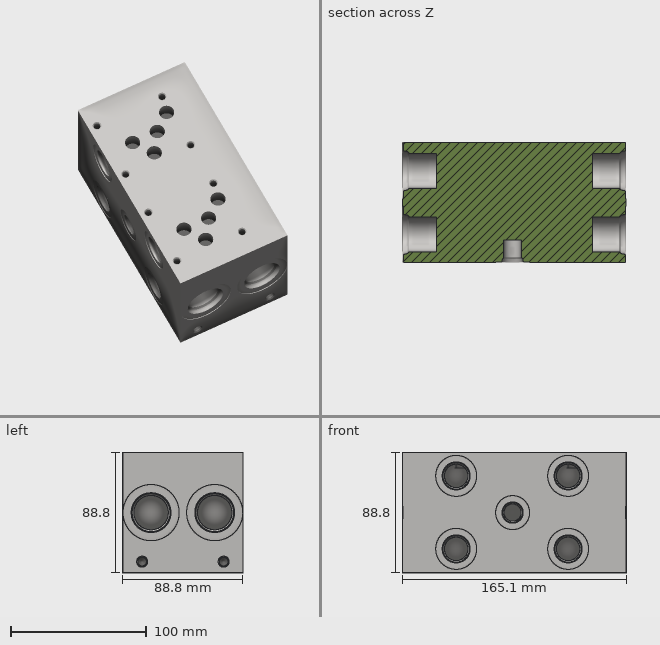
import cadquery as cq
import math

LENGTH = 165.1
SIDE = 88.8

SPOTFACE_DEPTH = 0.5
SEAT_TAPER = 12.0
LEAD_IN_ANGLE = 45.0

DRILL_TIP_ANGLE = 118.0

STATION_PITCH = 82.5
STATION_X = [LENGTH / 2 - STATION_PITCH / 2, LENGTH / 2 + STATION_PITCH / 2]
BOLT_SPACING_X = 46.0
BOLT_SPACING_Y = 54.0
BOLT_FRONT_Y = 6.6
STATION_Y = BOLT_FRONT_Y + BOLT_SPACING_Y / 2
STATION_BOLT_DRILL = 5.0
STATION_BOLT_MOUTH = 6.5
STATION_BOLT_DEPTH = 16.5
PASSAGE_DIAMETER = 11.2
PASSAGE_DEPTH = 11.4
TANK_PASSAGE = (-9.5, 23.8)
PRESSURE_PASSAGE = (16.7, 0.0)
WORK_PASSAGE_X = 1.7
WORK_PASSAGE_OFFSET_Y = 10.2

WORK_SPOTFACE = 30.2
WORK_SEAT = 20.6
WORK_BORE = 17.3
WORK_SEAT_DEPTH = 2.5
WORK_DEPTH = 18.8
WORK_SHIFT_X = -1.7
PORT_A_Z = 17.7
PORT_B_Z = 71.5
GAUGE_SPOTFACE = 25.1
GAUGE_SEAT = 15.7
GAUGE_BORE = 12.7
GAUGE_SEAT_DEPTH = 2.5
GAUGE_DEPTH = 16.5
GAUGE_X = 81.2

SUPPLY_SPOTFACE = 41.5
SUPPLY_SEAT = 29.4
SUPPLY_BORE = 25.5
SUPPLY_SEAT_DEPTH = 3.3
SUPPLY_DEPTH = 24.8
SUPPLY_EDGE_DISTANCE = 21.0
SUPPLY_Y = [SUPPLY_EDGE_DISTANCE, SIDE - SUPPLY_EDGE_DISTANCE]

MOUNT_DRILL = 6.5
MOUNT_MOUTH = 8.1
MOUNT_DEPTH = 16.5
MOUNT_EDGE_DISTANCE = 14.4
MOUNT_Y = [MOUNT_EDGE_DISTANCE, SIDE - MOUNT_EDGE_DISTANCE]
MOUNT_Z = 8.3


def turned_cutter(profile):
    """Solid of revolution about Z from (radius, height) points that start and end on the axis."""
    return cq.Workplane("XZ").polyline(profile).close().revolve(360, (0, 0, 0), (0, 1, 0)).val()


def port_cutter(spotface, seat, bore, seat_depth, depth):
    """Port pointing down from z = 0."""
    seat_floor = -SPOTFACE_DEPTH - seat_depth
    seat_floor_radius = seat / 2 - seat_depth * math.tan(math.radians(SEAT_TAPER))
    lead_in = (seat_floor_radius - bore / 2) / math.tan(math.radians(LEAD_IN_ANGLE))
    return turned_cutter([
        (0, 0),
        (spotface / 2, 0),
        (spotface / 2, -SPOTFACE_DEPTH),
        (seat / 2, -SPOTFACE_DEPTH),
        (seat_floor_radius, seat_floor),
        (bore / 2, seat_floor - lead_in),
        (bore / 2, -depth),
        (0, -depth),
    ])


def bolt_hole_cutter(drill, mouth, depth):
    """Chamfered drilled hole with a conical tip, pointing down from z = 0."""
    chamfer = (mouth - drill) / 2
    tip = drill / 2 / math.tan(math.radians(DRILL_TIP_ANGLE / 2))
    return turned_cutter([
        (0, 0),
        (mouth / 2, 0),
        (drill / 2, -chamfer),
        (drill / 2, -depth),
        (0, -depth - tip),
    ])


def on_top(cutter, x, y):
    return cutter.translate(cq.Vector(x, y, SIDE))


def on_front(cutter, x, z):
    return cutter.rotate(cq.Vector(0, 0, 0), cq.Vector(1, 0, 0), 90).translate(cq.Vector(x, 0, z))


def on_left_end(cutter, y, z):
    return cutter.rotate(cq.Vector(0, 0, 0), cq.Vector(0, 1, 0), -90).translate(cq.Vector(0, y, z))


def station_cutters(x):
    """Bolt holes and flat-bottomed passages of one valve station."""
    bolt = bolt_hole_cutter(STATION_BOLT_DRILL, STATION_BOLT_MOUTH, STATION_BOLT_DEPTH)
    passage = cq.Workplane("XY").circle(PASSAGE_DIAMETER / 2).extrude(-PASSAGE_DEPTH).val()
    passages = [
        TANK_PASSAGE,
        PRESSURE_PASSAGE,
        (WORK_PASSAGE_X, WORK_PASSAGE_OFFSET_Y),
        (WORK_PASSAGE_X, -WORK_PASSAGE_OFFSET_Y),
    ]
    cutters = [on_top(passage, x + dx, STATION_Y + dy) for dx, dy in passages]
    for side_x in (-1, 1):
        for side_y in (-1, 1):
            bolt_x = x + side_x * BOLT_SPACING_X / 2
            bolt_y = STATION_Y + side_y * BOLT_SPACING_Y / 2
            cutters.append(on_top(bolt, bolt_x, bolt_y))
    return cutters


def front_cutters():
    """Work ports A and B below each station, and the gauge port between them."""
    work = port_cutter(WORK_SPOTFACE, WORK_SEAT, WORK_BORE, WORK_SEAT_DEPTH, WORK_DEPTH)
    gauge = port_cutter(GAUGE_SPOTFACE, GAUGE_SEAT, GAUGE_BORE, GAUGE_SEAT_DEPTH, GAUGE_DEPTH)
    cutters = [on_front(gauge, GAUGE_X, SIDE / 2)]
    for x in STATION_X:
        for z in (PORT_A_Z, PORT_B_Z):
            cutters.append(on_front(work, x + WORK_SHIFT_X, z))
    return cutters


def end_cutters():
    """Supply ports and mounting holes of both ends, alike about the middle of the length."""
    supply = port_cutter(SUPPLY_SPOTFACE, SUPPLY_SEAT, SUPPLY_BORE, SUPPLY_SEAT_DEPTH, SUPPLY_DEPTH)
    mount = bolt_hole_cutter(MOUNT_DRILL, MOUNT_MOUTH, MOUNT_DEPTH)
    left = [on_left_end(supply, y, SIDE / 2) for y in SUPPLY_Y]
    left += [on_left_end(mount, y, MOUNT_Z) for y in MOUNT_Y]
    right = [cutter.mirror("YZ", cq.Vector(LENGTH / 2, 0, 0)) for cutter in left]
    return left + right


block = cq.Workplane("XY").box(LENGTH, SIDE, SIDE, centered=False)
cutters = front_cutters() + end_cutters()
for station_x in STATION_X:
    cutters += station_cutters(station_x)

result = cq.Workplane(block.val().cut(*cutters)).solids()